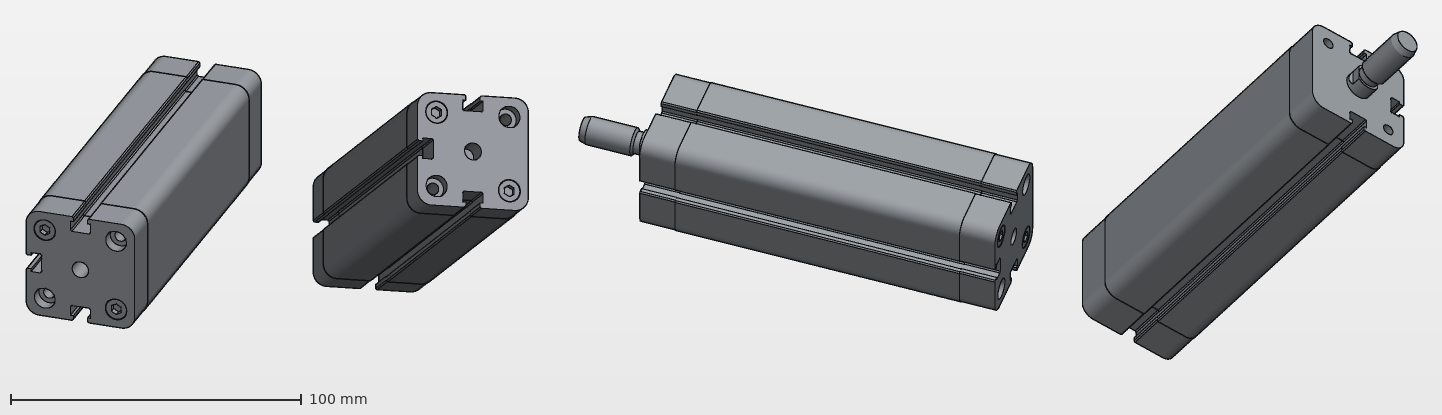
import cadquery as cq


total_length = 157
body_side = 40.0
body_corner_radius = 5.0
cap_side = 39.7
cap_length = 12.9
cap_corner_radius = body_corner_radius - (body_side - cap_side) / 2
housing_length = 129.4

slot_opening = 5.2
slot_inner_width = 7.2
slot_depth = 5.7
slot_lip = 1.9
slot_floor_chamfer = 0.5
slot_lip_chamfer = 0.5
slot_angles = (0, 90, 180)

hole_offset = 13.0
through_diameter = 4.1
counterbore_diameter = 7.5
counterbore_depth = 4.5
screw_bore_diameter = 7.8
screw_head_diameter = 7.5
screw_recess = 0.2
socket_across_corners = 4.1
socket_depth = 2.4
center_bore_diameter = 6.0
center_bore_depth = 9.4

rod_diameter = 10.0
neck_diameter = 8.0
tip_diameter = 8.5
tip_chamfer_length = 2.5
thread_length = 18.8
neck_taper_length = 0.8
neck_end_from_tip = 22
flat_length = 3.5
across_flats = neck_diameter


def rounded_bar(side, length, radius, start):
    """Square bar along Y with rounded long edges."""
    bar = cq.Workplane("XY").box(side, length, side, centered=(True, False, True))
    return bar.edges("|Y").fillet(radius).translate((0, start, 0))


def rear_cylinder(diameter, depth, x=0, z=0, start=0):
    """Cylinder reaching from Y = start to Y = start + depth."""
    base = cq.Workplane("XZ", origin=(x, start, z))
    return base.circle(diameter / 2).extrude(-depth)


def make_slot(side, length, start):
    """T-slot cutter for the top face of a bar, with chamfered lips and floor corners."""
    top = side / 2
    floor = top - slot_depth
    opening_half = slot_opening / 2
    inner_half = slot_inner_width / 2
    cutter = (
        cq.Workplane("XZ", origin=(0, start, 0))
        .moveTo(0, floor)
        .lineTo(inner_half - slot_floor_chamfer, floor)
        .lineTo(inner_half, floor + slot_floor_chamfer)
        .lineTo(inner_half, top - slot_lip)
        .lineTo(opening_half, top - slot_lip)
        .lineTo(opening_half, top - slot_lip_chamfer)
        .lineTo(opening_half + slot_lip_chamfer, top)
        .lineTo(0, top)
        .close()
        .extrude(-length)
    )
    return cutter.union(cutter.mirror("YZ"))


def slotted_bar(side, length, radius, start):
    """Rounded bar with a T-slot in each slotted face."""
    bar = rounded_bar(side, length, radius, start)
    slot = make_slot(side, length, start)
    for angle in slot_angles:
        bar = bar.cut(slot.rotate((0, 0, 0), (0, 1, 0), -angle))
    return bar


def make_housing():
    """Profile tube between two end caps of slightly smaller section."""
    tube_length = housing_length - 2 * cap_length
    housing = slotted_bar(body_side, tube_length, body_corner_radius, cap_length)
    for cap_start in (0, housing_length - cap_length):
        housing = housing.union(slotted_bar(cap_side, cap_length, cap_corner_radius, cap_start))
    return housing


def make_through_hole(x, z):
    """Counterbored hole through the whole housing."""
    bore = rear_cylinder(counterbore_diameter, counterbore_depth, x, z)
    return bore.union(rear_cylinder(through_diameter, housing_length, x, z))


def make_screw_pocket(x, z):
    """Material removed around a sunk socket-head screw: bore, ring gap and hex socket."""
    bore = rear_cylinder(screw_bore_diameter, counterbore_depth, x, z)
    head_length = counterbore_depth - screw_recess
    head = rear_cylinder(screw_head_diameter, head_length, x, z, screw_recess)
    socket = (
        cq.Workplane("XZ", origin=(x, screw_recess, z))
        .transformed(rotate=(0, 0, 90))
        .polygon(6, socket_across_corners)
        .extrude(-socket_depth)
    )
    return bore.cut(head).union(socket)


def make_rod():
    """Piston rod: collar with two wrench flats, neck and threaded end."""
    neck_end = total_length - neck_end_from_tip
    thread_start = total_length - thread_length
    rod_radius = rod_diameter / 2
    neck_radius = neck_diameter / 2
    rod = (
        cq.Workplane("XY")
        .moveTo(0, housing_length)
        .lineTo(rod_radius, housing_length)
        .lineTo(rod_radius, neck_end)
        .lineTo(neck_radius, neck_end)
        .lineTo(neck_radius, thread_start - neck_taper_length)
        .lineTo(rod_radius, thread_start)
        .lineTo(rod_radius, total_length - tip_chamfer_length)
        .lineTo(tip_diameter / 2, total_length)
        .lineTo(0, total_length)
        .close()
        .revolve(360, (0, 0, 0), (0, 1, 0))
    )
    flat_half = across_flats / 2
    runout = rod_radius - flat_half
    flat_start = neck_end - flat_length
    flat = (
        cq.Workplane("XY")
        .moveTo(flat_half, neck_end)
        .lineTo(flat_half, flat_start)
        .lineTo(rod_radius, flat_start - runout)
        .lineTo(rod_radius, neck_end)
        .close()
        .extrude(rod_radius, both=True)
    )
    return rod.cut(flat).cut(flat.mirror("YZ"))


result = make_housing()

for side in (1, -1):
    result = result.cut(make_through_hole(side * hole_offset, side * hole_offset))
    result = result.cut(make_screw_pocket(-side * hole_offset, side * hole_offset))

result = result.cut(rear_cylinder(center_bore_diameter, center_bore_depth))
result = result.union(make_rod())